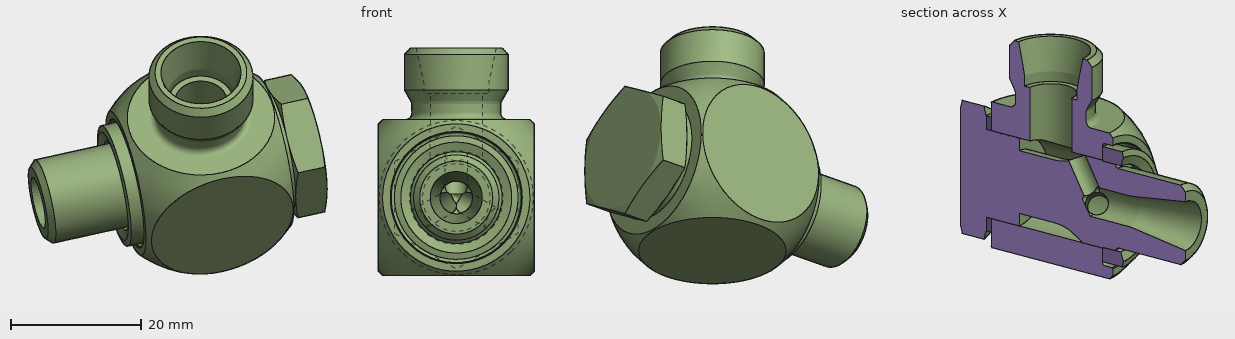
import cadquery as cq
import math


HOUSING_WIDTH = 24.0
HOUSING_BACK = 11.5
BALL_DIAMETER = 33.0
JOURNAL_DIAMETER = 14.35
RECESS_DIAMETER = 20.0
RECESS_DEPTH = 2.0
RECESS_FILLET = 0.4
RECESS_CHAMFER = 0.152
HOUSING_HALF = HOUSING_WIDTH / 2
HOUSING_FRONT = -HOUSING_HALF

PORT_TOP = 23.0
PORT_DIAMETER = 16.0
PORT_RIM_DIAMETER = 14.1
PORT_RIM_HEIGHT = 1.0
PORT_NECK_DIAMETER = 13.7
PORT_SHOULDER_BOTTOM = 16.57
PORT_SHOULDER_ANGLE = 30.0
NECK_FILLET = 1.0
PORT_SEAT_DIAMETER = 10.0
PORT_CONE_HALF_ANGLE = 12.0
PORT_CONE_DEPTH = 5.4
PORT_SEAT_DEPTH = 7.0
PORT_BORE_DIAMETER = 8.0

RING_DIAMETER = 19.0
RING_BORE_DIAMETER = 14.1
FRONT_RING_EDGE_DIAMETER = 17.05
FRONT_RING_EDGE_Y = -14.05
FRONT_RING_BEVEL = 0.2
FRONT_RING_COUNTERSINK = 0.52
BACK_RING_THICKNESS = 0.95

HEAD_ACROSS_FLATS = RING_DIAMETER
HEAD_TOP = 17.5
HEAD_CHAMFER_ANGLE = 15.0
STUD_DIAMETER = 13.15
STUD_END = -26.0
STUD_CHAMFER = 0.95
STUD_SHOULDER_Y = -12.9
GROOVE_DIAMETER = 10.4
GROOVE_BACK = 6.0
GROOVE_ARC_START = -0.65
GROOVE_ARC_END = -3.4
GROOVE_ARC_ANGLE = 19.0
BOLT_BORE_DIAMETER = 8.0
BOLT_TAPER_END = -15.3
PASSAGE_DIAMETER = 5.0
DRILL_HALF_ANGLE = 59.0
CROSS_HOLE_DIAMETER = 3.5
CROSS_HOLE_COUNT = 3
CROSS_HOLE_SLANT = 30.0
CROSS_HOLE_Y = -8.8
PASSAGE_TIP = -6.15

EDGE_BAND = 0.05

FRONT_RING_BACK = HOUSING_FRONT + RECESS_DEPTH
HEAD_SEAT = HOUSING_BACK + BACK_RING_THICKNESS


def tan_deg(angle):
    return math.tan(math.radians(angle))


def turned(profile):
    """Revolve a profile about the vertical axis of its own sketch plane."""
    return profile.close().revolve(360, (0, 0, 0), (0, 1, 0))


def edges_at_height(height):
    """Select the edges around the port axis that lie level at one height."""
    reach = PORT_DIAMETER / 2
    return cq.selectors.BoxSelector(
        (-reach, -reach, height - EDGE_BAND),
        (reach, reach, height + EDGE_BAND),
        boundingbox=True,
    )


def make_ball():
    depth = HOUSING_BACK - HOUSING_FRONT
    block = cq.Workplane("XY").box(HOUSING_WIDTH, depth, HOUSING_WIDTH)
    block = block.translate((0, HOUSING_FRONT + depth / 2, 0))
    return block.intersect(cq.Workplane("XY").sphere(BALL_DIAMETER / 2))


def make_port():
    neck_radius = PORT_NECK_DIAMETER / 2
    shoulder_drop = (PORT_DIAMETER - PORT_NECK_DIAMETER) / 2 / tan_deg(PORT_SHOULDER_ANGLE)
    neck_top = PORT_SHOULDER_BOTTOM - shoulder_drop
    port = turned(
        cq.Workplane("XZ")
        .moveTo(0, 0)
        .lineTo(neck_radius, 0)
        .lineTo(neck_radius, neck_top)
        .lineTo(PORT_DIAMETER / 2, PORT_SHOULDER_BOTTOM)
        .lineTo(PORT_DIAMETER / 2, PORT_TOP - PORT_RIM_HEIGHT)
        .lineTo(PORT_RIM_DIAMETER / 2, PORT_TOP)
        .lineTo(0, PORT_TOP)
    )
    return port.edges(edges_at_height(neck_top)).fillet(NECK_FILLET)


def make_port_bore():
    seat_radius = PORT_SEAT_DIAMETER / 2
    mouth_radius = seat_radius + PORT_CONE_DEPTH * tan_deg(PORT_CONE_HALF_ANGLE)
    bore_radius = PORT_BORE_DIAMETER / 2
    return turned(
        cq.Workplane("XZ")
        .moveTo(0, 0)
        .lineTo(bore_radius, 0)
        .lineTo(bore_radius, PORT_TOP - PORT_SEAT_DEPTH)
        .lineTo(seat_radius, PORT_TOP - PORT_SEAT_DEPTH)
        .lineTo(seat_radius, PORT_TOP - PORT_CONE_DEPTH)
        .lineTo(mouth_radius, PORT_TOP)
        .lineTo(0, PORT_TOP)
    )


def make_journal_bore():
    """Through bore with a filleted recess for the front ring."""
    bore_radius = JOURNAL_DIAMETER / 2
    recess_radius = RECESS_DIAMETER / 2
    fillet_offset = RECESS_FILLET * (1 - math.sqrt(0.5))
    return turned(
        cq.Workplane("XY")
        .moveTo(0, HOUSING_FRONT)
        .lineTo(recess_radius + RECESS_CHAMFER, HOUSING_FRONT)
        .lineTo(recess_radius, HOUSING_FRONT + RECESS_CHAMFER)
        .lineTo(recess_radius, FRONT_RING_BACK - RECESS_FILLET)
        .threePointArc(
            (recess_radius - fillet_offset, FRONT_RING_BACK - fillet_offset),
            (recess_radius - RECESS_FILLET, FRONT_RING_BACK),
        )
        .lineTo(bore_radius, FRONT_RING_BACK)
        .lineTo(bore_radius, HOUSING_BACK)
        .lineTo(0, HOUSING_BACK)
    )


def make_housing():
    body = make_ball().union(make_port())
    body = body.edges(edges_at_height(HOUSING_HALF)).fillet(NECK_FILLET)
    return body.cut(make_port_bore()).cut(make_journal_bore())


def make_front_ring():
    """Ring with a sharp front edge between an outer bevel and a countersink."""
    return turned(
        cq.Workplane("XY")
        .moveTo(RING_BORE_DIAMETER / 2, FRONT_RING_BACK)
        .lineTo(RING_DIAMETER / 2, FRONT_RING_BACK)
        .lineTo(RING_DIAMETER / 2, FRONT_RING_EDGE_Y + FRONT_RING_BEVEL)
        .lineTo(FRONT_RING_EDGE_DIAMETER / 2, FRONT_RING_EDGE_Y)
        .lineTo(RING_BORE_DIAMETER / 2, FRONT_RING_EDGE_Y + FRONT_RING_COUNTERSINK)
    )


def make_back_ring():
    """Flat ring between the housing and the bolt head."""
    return turned(
        cq.Workplane("XY")
        .moveTo(JOURNAL_DIAMETER / 2, HOUSING_BACK)
        .lineTo(RING_DIAMETER / 2, HOUSING_BACK)
        .lineTo(RING_DIAMETER / 2, HEAD_SEAT)
        .lineTo(JOURNAL_DIAMETER / 2, HEAD_SEAT)
    )


def make_head():
    """Hexagon with both ends chamfered by a turned envelope."""
    corner_radius = HEAD_ACROSS_FLATS / math.sqrt(3)
    face_radius = HEAD_ACROSS_FLATS / 2
    chamfer = (corner_radius - face_radius) * tan_deg(HEAD_CHAMFER_ANGLE)
    hexagon = (
        cq.Workplane("XZ", origin=(0, HEAD_SEAT, 0))
        .transformed(rotate=(0, 0, 90))
        .polygon(6, 2 * corner_radius)
        .extrude(HEAD_SEAT - HEAD_TOP)
    )
    envelope = turned(
        cq.Workplane("XY")
        .moveTo(0, HEAD_SEAT)
        .lineTo(face_radius, HEAD_SEAT)
        .lineTo(corner_radius, HEAD_SEAT + chamfer)
        .lineTo(corner_radius, HEAD_TOP - chamfer)
        .lineTo(face_radius, HEAD_TOP)
        .lineTo(0, HEAD_TOP)
    )
    return hexagon.intersect(envelope)


def make_shank():
    """Stud, journal and the grooved stretch behind the port."""
    stud_radius = STUD_DIAMETER / 2
    land_radius = RING_BORE_DIAMETER / 2
    journal_radius = JOURNAL_DIAMETER / 2
    groove_radius = GROOVE_DIAMETER / 2
    angle = math.radians(GROOVE_ARC_ANGLE)
    arc_radius = (GROOVE_ARC_START - GROOVE_ARC_END) / math.sin(angle)
    crest_radius = groove_radius + arc_radius * (1 - math.cos(angle))
    cone_end = GROOVE_ARC_END - (journal_radius - crest_radius) / tan_deg(CROSS_HOLE_SLANT)
    arc_middle = (
        groove_radius + arc_radius * (1 - math.cos(angle / 2)),
        GROOVE_ARC_START - arc_radius * math.sin(angle / 2),
    )
    return turned(
        cq.Workplane("XY")
        .moveTo(0, STUD_END)
        .lineTo(stud_radius - STUD_CHAMFER, STUD_END)
        .lineTo(stud_radius, STUD_END + STUD_CHAMFER)
        .lineTo(stud_radius, STUD_SHOULDER_Y)
        .lineTo(land_radius, STUD_SHOULDER_Y + land_radius - stud_radius)
        .lineTo(land_radius, FRONT_RING_BACK)
        .lineTo(journal_radius, FRONT_RING_BACK)
        .lineTo(journal_radius, cone_end)
        .lineTo(crest_radius, GROOVE_ARC_END)
        .threePointArc(arc_middle, (groove_radius, GROOVE_ARC_START))
        .lineTo(groove_radius, GROOVE_BACK)
        .lineTo(journal_radius, GROOVE_BACK)
        .lineTo(journal_radius, HEAD_SEAT)
        .lineTo(0, HEAD_SEAT)
    )


def make_bolt_bore():
    """Blind bore that tapers down to a straight passage with a drill cone at its end."""
    bore_radius = BOLT_BORE_DIAMETER / 2
    passage_radius = PASSAGE_DIAMETER / 2
    tip_cone = passage_radius / tan_deg(DRILL_HALF_ANGLE)
    return turned(
        cq.Workplane("XY")
        .moveTo(0, STUD_END)
        .lineTo(bore_radius, STUD_END)
        .lineTo(passage_radius, BOLT_TAPER_END)
        .lineTo(passage_radius, PASSAGE_TIP - tip_cone)
        .lineTo(0, PASSAGE_TIP)
    )


def make_cross_hole(angle):
    """Hole slanted toward the head, starting where its far side leaves the bolt axis."""
    hole = (
        cq.Workplane("XY")
        .workplane(offset=CROSS_HOLE_DIAMETER / 2 * tan_deg(CROSS_HOLE_SLANT))
        .circle(CROSS_HOLE_DIAMETER / 2)
        .extrude(JOURNAL_DIAMETER)
        .rotate((0, 0, 0), (1, 0, 0), -CROSS_HOLE_SLANT)
        .translate((0, CROSS_HOLE_Y, 0))
    )
    return hole.rotate((0, 0, 0), (0, 1, 0), angle)


def make_bolt():
    bolt = make_shank().union(make_head()).cut(make_bolt_bore())
    for index in range(CROSS_HOLE_COUNT):
        bolt = bolt.cut(make_cross_hole(index * 360 / CROSS_HOLE_COUNT))
    return bolt


housing = make_housing()
front_ring = make_front_ring()
back_ring = make_back_ring()
bolt = make_bolt()

result = cq.Compound.makeCompound([housing.val(), front_ring.val(), back_ring.val(), bolt.val()])